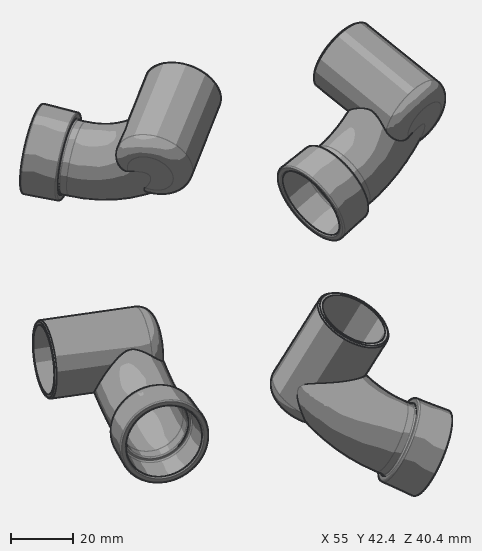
import cadquery as cq
import math

overall_x = 55
overall_y = 42.45
overall_z = 40.4

collar_length = 12.15
mouth_radius = 14.9
collar_back_radius = 14.5
edge_rounding = 0.5
socket_mouth_radius = 12.75
socket_end_radius = 12.3
socket_depth = 10.5

pipe_radius = 24.5 / 2
bore_radius = 21.5 / 2
bend_start = 14.9
bend_radius = 35.55
bend_angle = 48
bend_tilt = 11.4

barrel_radius = 25.5 / 2
barrel_x = overall_x - barrel_radius
barrel_z = overall_z - mouth_radius - barrel_radius
barrel_open_y = overall_y - mouth_radius
barrel_closed_y = -9.95
barrel_rounding = 5.05
barrel_bore_radius = 22.5 / 2
barrel_wall = barrel_radius - barrel_bore_radius


def bent_rod(radius):
    """Straight rod along X followed by a tangent bend, leaning towards +Y."""
    straight = cq.Workplane("YZ").circle(radius).extrude(bend_start)
    bend = (
        cq.Workplane("YZ", origin=(bend_start, 0, 0))
        .circle(radius)
        .revolve(bend_angle, (0.55, bend_radius, 0), (0, bend_radius, 0))
    )
    rod = straight.union(bend)
    return rod.rotate((0, 0, 0), (1, 0, 0), -bend_tilt)


def collar():
    """Tapered collar with rounded rims."""
    body = (
        cq.Workplane("XY")
        .polyline([(0, 0), (0, mouth_radius), (collar_length, collar_back_radius), (collar_length, 0)])
        .close()
        .revolve(360, (0, 0, 0), (1, 0, 0))
    )
    return body.faces("<X or >X").edges().fillet(edge_rounding)


def socket():
    """Tapered cavity with a rounded bottom corner, flaring at its mouth and into the bore."""
    cavity = (
        cq.Workplane("XY")
        .polyline([(0, 0), (0, socket_mouth_radius), (socket_depth, socket_end_radius), (socket_depth, 0)])
        .close()
        .revolve(360, (0, 0, 0), (1, 0, 0))
        .faces(">X").edges().fillet(edge_rounding)
    )
    mouth_flare = rounded_flare(0, socket_mouth_radius)
    bore_flare = rounded_flare(socket_depth, bore_radius)
    return cavity.union(mouth_flare).union(bore_flare)


def neck_fillet():
    """Concave fillet where the pipe leaves the back of the collar."""
    return rounded_flare(collar_length, pipe_radius)


def rounded_flare(x, radius):
    """Disc at x that narrows to the given radius along a quarter-round of the edge rounding."""
    outer = radius + edge_rounding
    end_x = x + edge_rounding
    bulge = edge_rounding * (1 - math.sqrt(0.5))
    return (
        cq.Workplane("XY")
        .moveTo(x, 0)
        .lineTo(x, outer)
        .threePointArc((x + bulge, radius + bulge), (end_x, radius))
        .lineTo(end_x, 0)
        .close()
        .revolve(360, (0, 0, 0), (1, 0, 0))
    )


def round_ended_cylinder(radius, closed_y, rounding):
    """Cylinder along the barrel axis, from its open end to a rounded closed end."""
    return (
        cq.Workplane("XZ", origin=(barrel_x, barrel_open_y, barrel_z))
        .circle(radius)
        .extrude(barrel_open_y - closed_y)
        .faces("<Y").edges().fillet(rounding)
    )


barrel = round_ended_cylinder(barrel_radius, barrel_closed_y, barrel_rounding)
barrel = barrel.faces(">Y").edges().chamfer(edge_rounding)
barrel_cavity = round_ended_cylinder(
    barrel_bore_radius, barrel_closed_y + barrel_wall, barrel_rounding - barrel_wall
)

body = bent_rod(pipe_radius).union(collar()).union(neck_fillet()).union(barrel)
result = body.cut(bent_rod(bore_radius)).cut(socket()).cut(barrel_cavity)